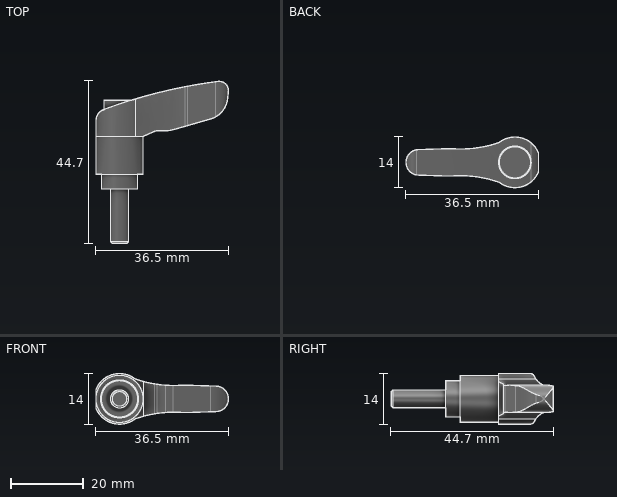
import cadquery as cq
import math


STUD_DIA = 5.0
STUD_LENGTH = 15.0
STUD_CHAMFER = 0.5
COLLAR_DIA = 10.0
COLLAR_HEIGHT = 4.0
HUB_DIA = 13.0
HUB_TOP_Y = 14.5
COLLAR_BORE_DIA = 10.5
COLLAR_BORE_DEPTH = 2.0

BUTTON_DIA = 8.6
BUTTON_TOP_Y = 24.5
BUTTON_BORE_DIA = 9.0

HEAD_RADIUS = 7.0
HEAD_FLAT_X = -HUB_DIA / 2
WAIST_X = 15.0
WAIST_HALF_WIDTH = 3.68
WAIST_RADIUS = 32.0
WAIST_START_X = 4.4
WAIST_END_X = 18.0
GRIP_START_X = 18.67
GRIP_HALF_WIDTH = 3.8
TIP_X = 30.01
TIP_HALF_WIDTH = 3.55

TIP_TOP_Y = 29.67
TIP_TOP_RADIUS = 2.6
CROWN_RADIUS = 140.0
TIP_LEAN_ANGLE = math.radians(6.0)
CROWN_END_ANGLE = math.radians(7.25)
HEAD_CORNER_RADIUS = 3.2
UNDERSIDE_STEP_Y = 16.0
NECK_START_X = 6.6
NECK_END_X = 10.0
NECK_BLEND_RADIUS = 1.8
UNDERSIDE_BEND_X = 13.75
UNDERSIDE_BLEND_RADIUS = 7.5
UNDERSIDE_ANGLE = math.radians(16.0)
TIP_LOWER_RADIUS = 6.65


def cylinder(diameter, y_start, y_end):
    """Cylinder on the Y axis between two Y levels."""
    base = cq.Workplane("XZ", origin=(0, y_start, 0))
    return base.circle(diameter / 2).extrude(y_start - y_end)


def waist_half_width(x):
    """Half width of the arm on the concave waist arc."""
    return WAIST_HALF_WIDTH + WAIST_RADIUS - math.sqrt(WAIST_RADIUS**2 - (x - WAIST_X) ** 2)


def waist_point(x, side):
    return (x, side * waist_half_width(x))


def lever_plan():
    """Prism along Y with the outline of the head and arm."""
    plane = cq.Workplane("XZ", origin=(0, HUB_TOP_Y, 0))
    height = TIP_TOP_Y - HUB_TOP_Y
    tip_start_x = TIP_X - TIP_HALF_WIDTH
    arm = (
        plane.moveTo(0, -waist_half_width(WAIST_START_X))
        .lineTo(*waist_point(WAIST_START_X, -1))
        .threePointArc(waist_point(WAIST_X, -1), waist_point(WAIST_END_X, -1))
        .lineTo(GRIP_START_X, -GRIP_HALF_WIDTH)
        .lineTo(tip_start_x, -TIP_HALF_WIDTH)
        .threePointArc((TIP_X, 0), (tip_start_x, TIP_HALF_WIDTH))
        .lineTo(GRIP_START_X, GRIP_HALF_WIDTH)
        .lineTo(*waist_point(WAIST_END_X, 1))
        .threePointArc(waist_point(WAIST_X, 1), waist_point(WAIST_START_X, 1))
        .lineTo(0, waist_half_width(WAIST_START_X))
        .close()
        .extrude(-height)
    )
    head = plane.circle(HEAD_RADIUS).extrude(-height)
    return head.union(arm)


def lever_profile():
    """Prism along Z with the side profile; its left edge cuts the flat on the head."""
    tip_centre_x = TIP_X - TIP_TOP_RADIUS
    tip_centre_y = TIP_TOP_Y - TIP_TOP_RADIUS

    def tip_point(angle):
        return (
            tip_centre_x - TIP_TOP_RADIUS * math.sin(angle),
            tip_centre_y + TIP_TOP_RADIUS * math.cos(angle),
        )

    crown_offset = CROWN_RADIUS - TIP_TOP_RADIUS
    crown_centre_x = tip_centre_x + crown_offset * math.sin(CROWN_END_ANGLE)
    crown_centre_y = tip_centre_y - crown_offset * math.cos(CROWN_END_ANGLE)

    def crown_point(x):
        return (x, crown_centre_y + math.sqrt(CROWN_RADIUS**2 - (x - crown_centre_x) ** 2))

    edge_top_angle = -(math.pi / 2 + TIP_LEAN_ANGLE)
    edge_top_x, edge_top_y = tip_point(edge_top_angle)
    lean = math.tan(TIP_LEAN_ANGLE)
    rise = math.tan(UNDERSIDE_ANGLE)
    edge_drop = edge_top_y - UNDERSIDE_STEP_Y - (edge_top_x - UNDERSIDE_BEND_X) * rise
    edge_height = edge_drop / (1 - lean * rise)
    tip_corner = (edge_top_x - edge_height * lean, edge_top_y - edge_height)

    profile = (
        cq.Workplane("XY", origin=(0, 0, -HEAD_RADIUS))
        .moveTo(HEAD_FLAT_X, HUB_TOP_Y)
        .lineTo(NECK_START_X, HUB_TOP_Y)
        .lineTo(NECK_END_X, UNDERSIDE_STEP_Y)
        .lineTo(UNDERSIDE_BEND_X, UNDERSIDE_STEP_Y)
        .lineTo(*tip_corner)
        .lineTo(edge_top_x, edge_top_y)
        .threePointArc(tip_point(-math.pi / 4), tip_point(CROWN_END_ANGLE))
        .threePointArc(crown_point(0), crown_point(HEAD_FLAT_X))
        .close()
        .extrude(2 * HEAD_RADIUS)
    )
    blends = [
        (HEAD_FLAT_X, crown_point(HEAD_FLAT_X)[1], HEAD_CORNER_RADIUS),
        (NECK_END_X, UNDERSIDE_STEP_Y, NECK_BLEND_RADIUS),
        (UNDERSIDE_BEND_X, UNDERSIDE_STEP_Y, UNDERSIDE_BLEND_RADIUS),
        (*tip_corner, TIP_LOWER_RADIUS),
    ]
    for x, y, radius in blends:
        corner = cq.selectors.NearestToPointSelector((x, y, 0))
        profile = profile.edges("|Z").edges(corner).fillet(radius)
    return profile


def lever():
    """Head and arm, with the bore that takes the push button."""
    body = lever_plan().intersect(lever_profile())
    return body.cut(cylinder(BUTTON_BORE_DIA, HUB_TOP_Y, TIP_TOP_Y))


def hub():
    """Hub below the head, with a clearance bore around the collar."""
    body = cylinder(HUB_DIA, COLLAR_HEIGHT, HUB_TOP_Y)
    return body.cut(cylinder(COLLAR_BORE_DIA, COLLAR_HEIGHT, COLLAR_HEIGHT + COLLAR_BORE_DEPTH))


def spindle():
    """Stud, collar and push button on one axis."""
    stud = cylinder(STUD_DIA, -STUD_LENGTH, 0).faces("<Y").chamfer(STUD_CHAMFER)
    collar = cylinder(COLLAR_DIA, 0, HUB_TOP_Y)
    button = cylinder(BUTTON_DIA, HUB_TOP_Y, BUTTON_TOP_Y)
    return stud.union(collar).union(button)


result = lever().union(hub()).union(spindle())